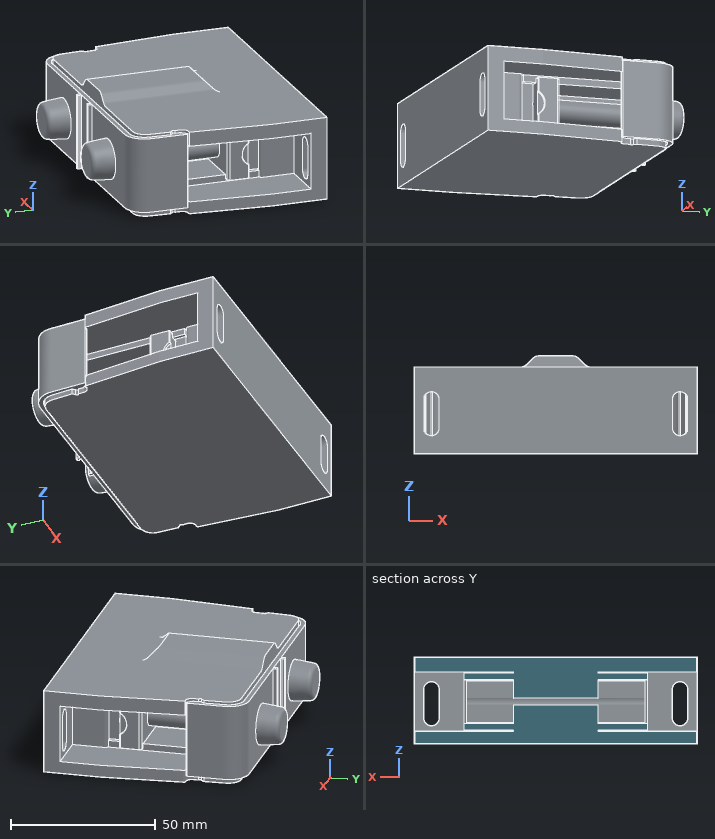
import cadquery as cq
import math

HALF_WIDTH = 49.0
BODY_HEIGHT = 30.1
BODY_BACK = 68.1
TAPER_START = 20.3
SHOULDER_Y = 50.0
SHOULDER_HALF_WIDTH = 46.5
SHOULDER_ROUND = 0.7
BACK_CORNER_RADIUS = 4.6

NOTCH_OUTER_X = 45.0
NOTCH_X = 43.2
NOTCH_BOTTOM_Y = 52.0
NOTCH_RADIUS = NOTCH_BOTTOM_Y - SHOULDER_Y
LIP_BOTTOM_Y = 54.0
LIP_TOP_Y = 55.1
LIP_TIP_Y = (LIP_BOTTOM_Y + LIP_TOP_Y) / 2
LIP_TIP_X = 42.7
FLANK_X = 44.1
FLANK_Y = 56.1
FLANK_TOP_X = 43.7
CORNER_Y = BODY_BACK - BACK_CORNER_RADIUS

FRONT_WALL = 5.9
CAVITY_BOTTOM = 4.4
CAVITY_TOP = 24.9
MID_Z = (CAVITY_BOTTOM + CAVITY_TOP) / 2
SPINE_HALF_WIDTH = 14.7
PILLAR_HALF_WIDTH = 31.85
PILLAR_BACK = 18.7
PILLAR_RADIUS = 1.6
RAIL_GAP = 0.3
RAIL_HEIGHT = 2.45
RAIL_BACK = 61.3
PLATE_HALF_WIDTH = 30.9
PLATE_BACK = 22.6

SLOT_X = 43.0
SLOT_WIDTH = 5.3
SLOT_HEIGHT = 15.2
SLOT_Z = 13.9

SCREW_X = 22.05
SCREW_RADIUS = 4.1
NUT_FRONT = 23.3
NUT_BACK = 31.2
NUT_HALF_WIDTH = 34.3
NUT_HEIGHT = 17.8
NUT_FRONT_CHAMFER = 0.3
NUT_BACK_CHAMFER = 0.8
NUT_RECESS_RADIUS = 4.5
NUT_RECESS_Y = 21.4
NUT_RECESS_DEPTH = 1.0
SIGHT_HOLE_RADIUS = 3.4
SIGHT_HOLE_BITE = 0.2
SIGHT_HOLE_Y = PLATE_BACK + SIGHT_HOLE_RADIUS - SIGHT_HOLE_BITE
KNOB_BASE_RADIUS = 7.3
KNOB_TIP_RADIUS = 6.5
KNOB_ROUND = 1.8
KNOB_END = 79.0

COVER_BOTTOM = 2.1
COVER_TOP = 29.1
COVER_HEIGHT = COVER_TOP - COVER_BOTTOM
COVER_THICKNESS = 1.8
COVER_BACK = 70.8
COVER_INNER_BACK = COVER_BACK - COVER_THICKNESS
COVER_INNER_RADIUS = 5.5
COVER_OUTER_RADIUS = COVER_INNER_RADIUS + COVER_THICKNESS
COVER_END_HALF_WIDTH = 45.7
COVER_END_CHAMFER = 0.4
COVER_CORNER_Y = COVER_INNER_BACK - COVER_INNER_RADIUS
COVER_CORNER_X = FLANK_TOP_X - COVER_INNER_RADIUS
FIN_OUTER_X = 5.8
FIN_THICKNESS = 1.2
FIN_END = 72.2
FIN_BEAD_RADIUS = 0.4
FIN_BEAD_Y = 71.7

RIB_TOP = 34.0
RIB_HALF_WIDTH = 12.2
RIB_FRONT = 25.4
RIB_FOOT_RUN = 2.1
RIB_CREST_RUN = 2.4
RIB_FLANK_ANGLE = 45.0
RIB_HEIGHT = RIB_TOP - BODY_HEIGHT


def box(x_outer, x_inner, y_front, y_back, z_bottom, z_top):
    """Block on the -X side between the given distances from the middle plane."""
    return cq.Workplane("XY").box(
        x_outer - x_inner, y_back - y_front, z_top - z_bottom, centered=False
    ).translate((-x_outer, y_front, z_bottom))


def cylinder_along_x(x_outer, x_inner, y, radius):
    """Cylinder at cavity mid height, between two distances from the middle plane."""
    return (
        cq.Workplane("YZ").workplane(offset=-x_outer)
        .center(y, MID_Z).circle(radius).extrude(x_outer - x_inner)
    )


def arc_middle(center_x, center_y, radius):
    """Middle point of a quarter arc on the back -X corner."""
    reach = radius * math.sqrt(0.5)
    return (center_x - reach, center_y + reach)


def make_body():
    body_corner_x = FLANK_TOP_X - BACK_CORNER_RADIUS
    body = (
        cq.Workplane("XY")
        .moveTo(0, 0)
        .lineTo(-HALF_WIDTH, 0)
        .lineTo(-HALF_WIDTH, TAPER_START)
        .lineTo(-SHOULDER_HALF_WIDTH, SHOULDER_Y)
        .lineTo(-NOTCH_OUTER_X, SHOULDER_Y)
        .radiusArc((-NOTCH_X, NOTCH_BOTTOM_Y), -NOTCH_RADIUS)
        .lineTo(-NOTCH_X, LIP_BOTTOM_Y)
        .threePointArc((-LIP_TIP_X, LIP_TIP_Y), (-NOTCH_X, LIP_TOP_Y))
        .lineTo(-FLANK_X, FLANK_Y)
        .lineTo(-FLANK_TOP_X, CORNER_Y)
        .threePointArc(
            arc_middle(-body_corner_x, CORNER_Y, BACK_CORNER_RADIUS),
            (-body_corner_x, BODY_BACK),
        )
        .lineTo(0, BODY_BACK)
        .close()
        .extrude(BODY_HEIGHT)
    )
    cavity = box(HALF_WIDTH, SPINE_HALF_WIDTH, FRONT_WALL, BODY_BACK, CAVITY_BOTTOM, CAVITY_TOP)
    slot = (
        cq.Workplane("XZ").center(-SLOT_X, SLOT_Z)
        .slot2D(SLOT_HEIGHT, SLOT_WIDTH, 90).extrude(-FRONT_WALL)
    )
    body = body.cut(cavity).cut(slot)
    lower_shoulder = cq.selectors.NearestToPointSelector(
        (-SHOULDER_HALF_WIDTH, SHOULDER_Y, CAVITY_BOTTOM / 2)
    )
    return body.edges(lower_shoulder).fillet(SHOULDER_ROUND)


def make_cavity_fittings():
    pillar = (
        box(PILLAR_HALF_WIDTH, SPINE_HALF_WIDTH, FRONT_WALL, PILLAR_BACK, CAVITY_BOTTOM, CAVITY_TOP)
        .edges("|Z and <X and >Y").fillet(PILLAR_RADIUS)
    )
    lower_rail_z = CAVITY_BOTTOM + RAIL_GAP
    upper_rail_z = CAVITY_TOP - RAIL_GAP - RAIL_HEIGHT
    plate = box(
        PLATE_HALF_WIDTH, SPINE_HALF_WIDTH, FRONT_WALL, PLATE_BACK,
        lower_rail_z + RAIL_HEIGHT + RAIL_GAP, upper_rail_z - RAIL_GAP,
    )
    fittings = pillar.union(plate)
    for rail_z in (lower_rail_z, upper_rail_z):
        rail = box(
            PILLAR_HALF_WIDTH, SPINE_HALF_WIDTH,
            PILLAR_BACK, RAIL_BACK,
            rail_z, rail_z + RAIL_HEIGHT,
        )
        fittings = fittings.union(rail)
    return fittings


def make_screw():
    nut = (
        box(NUT_HALF_WIDTH, SPINE_HALF_WIDTH, NUT_FRONT, NUT_BACK,
            MID_Z - NUT_HEIGHT / 2, MID_Z + NUT_HEIGHT / 2)
        .edges("|Z and <X and <Y").chamfer(NUT_FRONT_CHAMFER)
        .faces(">Y").edges("<X").chamfer(NUT_BACK_CHAMFER)
    )
    recess = cylinder_along_x(
        NUT_HALF_WIDTH, NUT_HALF_WIDTH - NUT_RECESS_DEPTH, NUT_RECESS_Y, NUT_RECESS_RADIUS
    )
    shaft = (
        cq.Workplane("XZ", origin=(-SCREW_X, NUT_BACK, MID_Z))
        .circle(SCREW_RADIUS).extrude(NUT_BACK - BODY_BACK)
    )
    knob = (
        cq.Workplane("XZ", origin=(-SCREW_X, COVER_BACK, MID_Z))
        .circle(KNOB_BASE_RADIUS)
        .workplane(offset=COVER_BACK - KNOB_END)
        .circle(KNOB_TIP_RADIUS)
        .loft()
        .faces(">Y").edges().fillet(KNOB_ROUND)
    )
    return nut.cut(recess).union(shaft).union(knob)


def make_cover():
    sheet = (
        cq.Workplane("XY").workplane(offset=COVER_BOTTOM)
        .moveTo(0, COVER_BACK)
        .lineTo(-COVER_CORNER_X, COVER_BACK)
        .threePointArc(
            arc_middle(-COVER_CORNER_X, COVER_CORNER_Y, COVER_OUTER_RADIUS),
            (-COVER_CORNER_X - COVER_OUTER_RADIUS, COVER_CORNER_Y),
        )
        .lineTo(-COVER_END_HALF_WIDTH, SHOULDER_Y + COVER_END_CHAMFER)
        .lineTo(-COVER_END_HALF_WIDTH + COVER_END_CHAMFER, SHOULDER_Y)
        .lineTo(-NOTCH_OUTER_X, SHOULDER_Y)
        .lineTo(-NOTCH_X, NOTCH_BOTTOM_Y)
        .lineTo(-NOTCH_X, LIP_BOTTOM_Y)
        .threePointArc((-LIP_TIP_X, LIP_TIP_Y), (-NOTCH_X, LIP_TOP_Y))
        .lineTo(-FLANK_X, FLANK_Y)
        .lineTo(-FLANK_TOP_X, COVER_CORNER_Y)
        .threePointArc(
            arc_middle(-COVER_CORNER_X, COVER_CORNER_Y, COVER_INNER_RADIUS),
            (-COVER_CORNER_X, COVER_INNER_BACK),
        )
        .lineTo(0, COVER_INNER_BACK)
        .close()
        .extrude(COVER_HEIGHT)
    )
    fin_inner_x = FIN_OUTER_X - FIN_THICKNESS
    fin = box(FIN_OUTER_X, fin_inner_x, COVER_BACK, FIN_END, COVER_BOTTOM, COVER_TOP)
    bead = (
        cq.Workplane("XY").workplane(offset=COVER_BOTTOM)
        .center(-fin_inner_x, FIN_BEAD_Y).circle(FIN_BEAD_RADIUS).extrude(COVER_HEIGHT)
    )
    return sheet.union(fin).union(bead)


def rib_profile(plane, edge, far, crest_run):
    """Rib outline rising from the lid at `edge`; a zero crest run leaves the crest sharp."""
    half_angle = math.radians(RIB_FLANK_ANGLE / 2)
    foot_rise = RIB_FOOT_RUN * math.tan(half_angle)
    foot_radius = RIB_FOOT_RUN / math.sin(2 * half_angle)
    crest_rise = crest_run * math.tan(half_angle)
    crest_radius = crest_run / math.sin(2 * half_angle)
    flank_run = (RIB_HEIGHT - foot_rise - crest_rise) / math.tan(2 * half_angle)
    crest_start = edge + RIB_FOOT_RUN + flank_run
    outline = (
        cq.Workplane(plane)
        .moveTo(far, BODY_HEIGHT)
        .lineTo(edge, BODY_HEIGHT)
        .radiusArc((edge + RIB_FOOT_RUN, BODY_HEIGHT + foot_rise), -foot_radius)
        .lineTo(crest_start, RIB_TOP - crest_rise)
    )
    if crest_run > 0:
        outline = outline.radiusArc((crest_start + crest_run, RIB_TOP), crest_radius)
    return outline.lineTo(far, RIB_TOP).close()


def make_rib():
    across = rib_profile("XZ", -RIB_HALF_WIDTH, 0, RIB_CREST_RUN).extrude(-BODY_BACK)
    along = rib_profile("YZ", RIB_FRONT, BODY_BACK, 0).extrude(-HALF_WIDTH)
    return across.intersect(along)


sight_hole = cylinder_along_x(PILLAR_HALF_WIDTH, 0, SIGHT_HOLE_Y, SIGHT_HOLE_RADIUS)
half = make_body().union(make_cavity_fittings())
half = half.cut(sight_hole)
half = half.union(make_screw()).union(make_cover()).union(make_rib())

result = half.union(half.mirror("YZ")).clean()